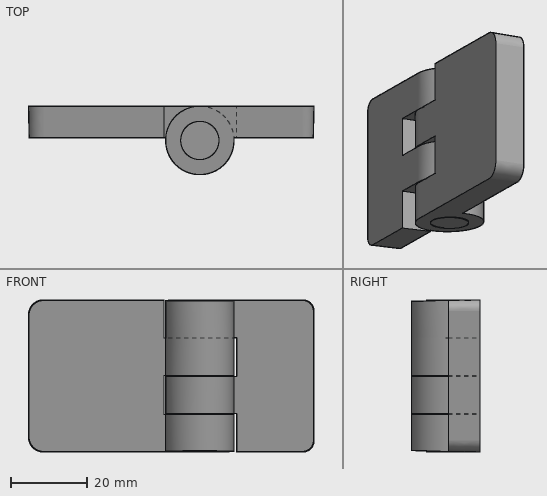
import cadquery as cq
import math

length = 75.0
height = 40.0
left_reach = 45.0
right_reach = length - left_reach
barrel_radius = 9.0
pin_radius = 5.0
leaf_thickness = 8.3
left_corner_radius = 4.0
right_corner_radius = 3.0
draft_angle = 1.2
left_clearance = 0.4
right_clearance = 0.7
knuckle_gap = 0.2
knuckle_count = 4

back_y = barrel_radius
front_y = -barrel_radius
leaf_front_y = back_y - leaf_thickness
knuckle_pitch = height / knuckle_count
diagonal = math.sqrt(0.5)


def block(x_min, x_max, y_min, y_max, z_min, z_max):
    """Box given by its limits along each axis."""
    return cq.Workplane("XY").box(
        x_max - x_min, y_max - y_min, z_max - z_min, centered=False
    ).translate((x_min, y_min, z_min))


def drafted_envelope():
    """Rounded rectangle at the back face, narrowing slightly toward the front."""
    outline = (
        cq.Sketch()
        .rect(length, height)
        .vertices("<X")
        .fillet(left_corner_radius)
        .reset()
        .vertices(">X")
        .fillet(right_corner_radius)
    )
    return (
        cq.Workplane("XZ", origin=((right_reach - left_reach) / 2, back_y, 0))
        .placeSketch(outline)
        .extrude(back_y - front_y, taper=draft_angle)
    )


def barrel_leaf(side):
    """Full-height leaf running tangentially off a full-height barrel; side is -1 left, +1 right."""
    leaf_end = side * (left_reach if side < 0 else right_reach)
    return (
        cq.Workplane("XY", origin=(0, 0, -height / 2))
        .moveTo(0, back_y)
        .lineTo(leaf_end, back_y)
        .lineTo(leaf_end, leaf_front_y)
        .lineTo(side * barrel_radius, leaf_front_y)
        .lineTo(side * barrel_radius, 0)
        .threePointArc((0, front_y), (-side * barrel_radius, 0))
        .threePointArc((-side * barrel_radius * diagonal, barrel_radius * diagonal), (0, back_y))
        .close()
        .extrude(height)
    )


def knuckle_limits(index):
    """Bottom and top of a knuckle, counted from the top; the first pair touch, later ones have gaps."""
    top = height / 2 - index * knuckle_pitch
    bottom = top - knuckle_pitch
    if index > 1:
        top -= knuckle_gap / 2
    if 0 < index < knuckle_count - 1:
        bottom += knuckle_gap / 2
    return bottom, top


def notch(clearance, upper_knuckle, lower_knuckle):
    """Cutter that clears the space between two knuckles of one leaf; None means the open end."""
    z_min = -height if lower_knuckle is None else knuckle_limits(lower_knuckle)[1]
    z_max = height if upper_knuckle is None else knuckle_limits(upper_knuckle)[0]
    inner = barrel_radius + clearance
    return block(-inner, inner, front_y - clearance, back_y + clearance, z_min, z_max)


envelope = drafted_envelope()
right_leaf = (
    barrel_leaf(1)
    .intersect(envelope)
    .cut(notch(right_clearance, 0, 2))
    .cut(notch(right_clearance, 2, None))
)
left_leaf = (
    barrel_leaf(-1)
    .intersect(envelope)
    .cut(notch(left_clearance, None, 1))
    .cut(notch(left_clearance, 1, 3))
)

pin = cq.Workplane("XY", origin=(0, 0, -height / 2)).circle(pin_radius).extrude(height)

result = right_leaf.union(pin, clean=False).union(left_leaf, clean=False)